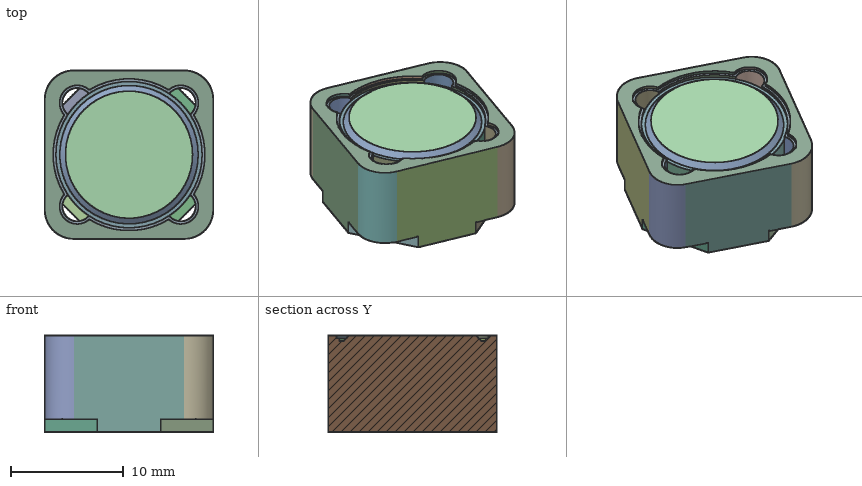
import cadquery as cq
import math

side = 15.0
total_height = 8.6
corner_radius = 2.6

base_height = 1.15
base_corner_cut = 4.7

core_radius = 6.5
core_chamfer = 0.5
groove_width = 0.35
groove_depth = core_chamfer
cap_radius = core_radius - groove_width

step_width = 0.25
step_depth = 0.25

hole_radius = 1.32
hole_offset = core_radius / math.sqrt(2)
hole_centres = [(sx * hole_offset, sy * hole_offset) for sx in (-1, 1) for sy in (-1, 1)]


def disc(radius, bottom, top):
    """Upright cylinder on the part's axis."""
    return cq.Workplane("XY").workplane(offset=bottom).circle(radius).extrude(top - bottom)


def corner_discs(radius, bottom, top):
    """Four upright cylinders, one at each corner hole."""
    plane = cq.Workplane("XY").workplane(offset=bottom)
    return plane.pushPoints(hole_centres).circle(radius).extrude(top - bottom)


def make_housing():
    """Rounded block standing on the octagonal base."""
    base = cq.Workplane("XY").rect(side, side).extrude(base_height)
    base = base.edges("|Z").chamfer(base_corner_cut)
    block = cq.Workplane("XY").workplane(offset=base_height).rect(side, side)
    block = block.extrude(total_height - base_height)
    block = block.edges("|Z").fillet(corner_radius)
    return base.union(block)


def make_top_recess():
    """Volume cleared by the step and by the groove, including the space the cap refills."""
    step_bottom = total_height - step_depth
    step = disc(core_radius + step_width, step_bottom, total_height)
    step = step.union(corner_discs(hole_radius + step_width, step_bottom, total_height))
    return step.union(disc(core_radius, total_height - groove_depth, total_height))


def make_corner_holes():
    """Holes down to the base, bounded on the inside by the core."""
    holes = corner_discs(hole_radius, base_height, total_height)
    return holes.cut(disc(core_radius, base_height, total_height))


def make_core_cap():
    """Chamfered cylinder sunk in the core; only its chamfered rim stands above the groove floor."""
    cap = disc(cap_radius, base_height, total_height)
    return cap.faces(">Z").chamfer(core_chamfer)


result = make_housing().cut(make_top_recess()).cut(make_corner_holes()).union(make_core_cap())